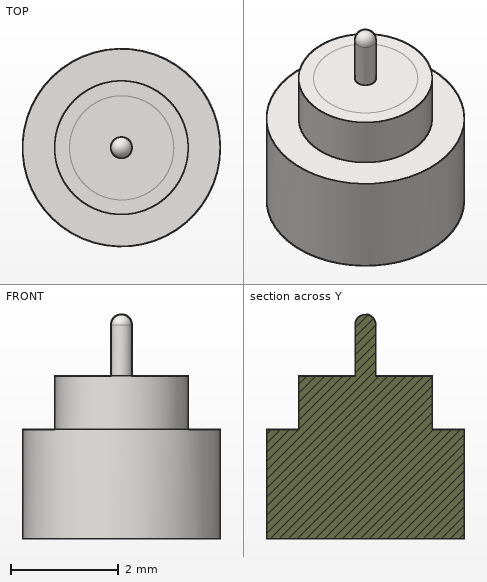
import cadquery as cq

total_height = 4.2
base_diameter = 3.7
base_height = 2.05
neck_diameter = 2.5
neck_height = 1.0
insulator_diameter = 1.95
pin_diameter = 0.4

neck_top = base_height + neck_height
pin_radius = pin_diameter / 2
pin_length = total_height - neck_top


def cylinder(diameter, height, bottom):
    """Upright cylinder on the Z axis, starting at the given height."""
    return cq.Workplane("XY").workplane(offset=bottom).circle(diameter / 2).extrude(height)


base = cylinder(base_diameter, base_height, 0)
neck = cylinder(neck_diameter, neck_height, base_height)
insulator = cylinder(insulator_diameter, neck_height, base_height)
body = base.union(neck).cut(insulator)

shank_length = pin_length - pin_radius
shank = cylinder(pin_diameter, shank_length, neck_top)
tip = cq.Workplane("XY").sphere(pin_radius).translate((0, 0, neck_top + shank_length))
pin = shank.union(tip)

result = body.union(insulator, clean=False).union(pin, clean=False)